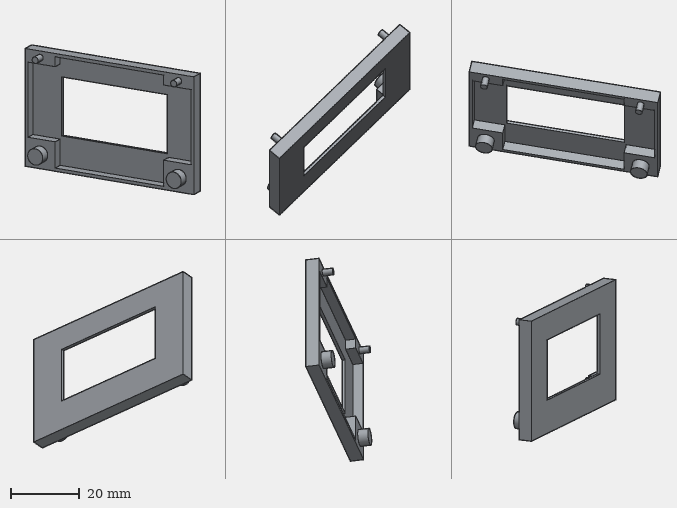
import cadquery as cq

width = 56.0
height = 36.0
thickness = 4.0
front_y = 0.0

pocket_depth = 3.0
wide_pocket_width = 54.1
wide_pocket_top_margin = 4.05
wide_pocket_bottom_margin = 9.0
tall_pocket_width = 36.0
tall_pocket_margin = 1.0

window_width = 35.0
window_top_margin = 7.95
window_bottom_margin = 10.0

peg_length = 3.0
peg_spacing = 46.0
small_peg_diameter = 2.0
small_peg_top_margin = 2.0
large_peg_diameter = 5.0
large_peg_bottom_margin = 4.5

top_z = height / 2
bottom_z = -height / 2


def front_block(block_width, bottom_margin, top_margin, depth):
    """Block running back from the front face, placed by its margins to the plate edges."""
    block_height = height - bottom_margin - top_margin
    return cq.Workplane("XY").box(block_width, depth, block_height, centered=(True, False, False)).translate(
        (0, front_y, bottom_z + bottom_margin)
    )


def peg_pair(diameter, z):
    """Two pegs pointing forward (-Y) from the front face."""
    return (
        cq.Workplane("XZ", origin=(0, front_y, z))
        .pushPoints([(-peg_spacing / 2, 0), (peg_spacing / 2, 0)])
        .circle(diameter / 2)
        .extrude(peg_length)
    )


plate = front_block(width, 0, 0, thickness)
wide_pocket = front_block(
    wide_pocket_width, wide_pocket_bottom_margin, wide_pocket_top_margin, pocket_depth
)
tall_pocket = front_block(tall_pocket_width, tall_pocket_margin, tall_pocket_margin, pocket_depth)
window = front_block(window_width, window_bottom_margin, window_top_margin, thickness)

small_pegs = peg_pair(small_peg_diameter, top_z - small_peg_top_margin)
large_pegs = peg_pair(large_peg_diameter, bottom_z + large_peg_bottom_margin)

result = (
    plate.cut(wide_pocket)
    .cut(tall_pocket)
    .cut(window)
    .union(small_pegs)
    .union(large_pegs)
)